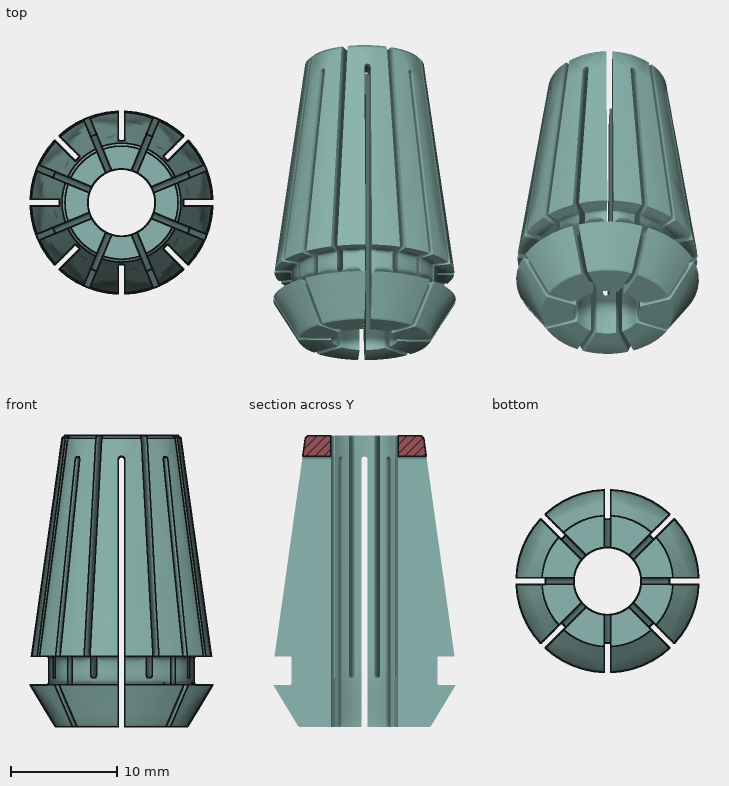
import cadquery as cq
import math

height = 27.5
bore_radius = 3.15

head_bottom_radius = 6.3
head_rim_diameter = 17.25
head_rim_radius = head_rim_diameter / 2
head_rim_z = 3.95
head_edge_chamfer = 0.1

groove_radius = 6.88
groove_top_z = 6.65
groove_corner_radius = 0.2

taper_bottom_radius = 8.5
taper_top_radius = 5.6
top_chamfer = 0.28

slits_per_set = 8
slit_width = 0.6
bottom_slit_end_z = 25.5
top_slit_end_z = 4.62

slit_pitch = 360.0 / slits_per_set
slit_length = head_rim_radius + slit_width
slit_overrun = slit_width


def turned_body():
    """Solid of revolution with the groove, the tapers and the bore."""
    head_chamfer_radius = head_bottom_radius - head_edge_chamfer
    arc_middle = groove_corner_radius * (1 - math.sqrt(0.5))
    corner_radius_end = groove_radius + groove_corner_radius
    profile = (
        cq.Workplane("XZ")
        .moveTo(bore_radius, 0)
        .lineTo(head_chamfer_radius, 0)
        .lineTo(head_bottom_radius, head_edge_chamfer)
        .lineTo(head_rim_radius, head_rim_z)
        .lineTo(corner_radius_end, head_rim_z)
        .threePointArc(
            (groove_radius + arc_middle, head_rim_z + arc_middle),
            (groove_radius, head_rim_z + groove_corner_radius),
        )
        .lineTo(groove_radius, groove_top_z - groove_corner_radius)
        .threePointArc(
            (groove_radius + arc_middle, groove_top_z - arc_middle),
            (corner_radius_end, groove_top_z),
        )
        .lineTo(taper_bottom_radius, groove_top_z)
        .lineTo(taper_top_radius, height - top_chamfer)
        .lineTo(taper_top_radius - top_chamfer, height)
        .lineTo(bore_radius, height)
        .close()
    )
    return profile.revolve(360, (0, 0, 0), (0, 1, 0))


def slit_cutter(open_z, end_z, angle):
    """Radial slit running from an open end to a round end at end_z."""
    half_width = slit_width / 2
    direction = math.copysign(1, end_z - open_z)
    start_z = open_z - direction * slit_overrun
    round_z = end_z - direction * half_width
    return (
        cq.Workplane("YZ")
        .moveTo(-half_width, start_z)
        .lineTo(half_width, start_z)
        .lineTo(half_width, round_z)
        .threePointArc((0, end_z), (-half_width, round_z))
        .close()
        .extrude(slit_length)
        .rotate((0, 0, 0), (0, 0, 1), angle)
    )


result = turned_body()
for index in range(slits_per_set):
    bottom_slit_angle = index * slit_pitch
    top_slit_angle = bottom_slit_angle + slit_pitch / 2
    result = result.cut(slit_cutter(0, bottom_slit_end_z, bottom_slit_angle))
    result = result.cut(slit_cutter(height, top_slit_end_z, top_slit_angle))